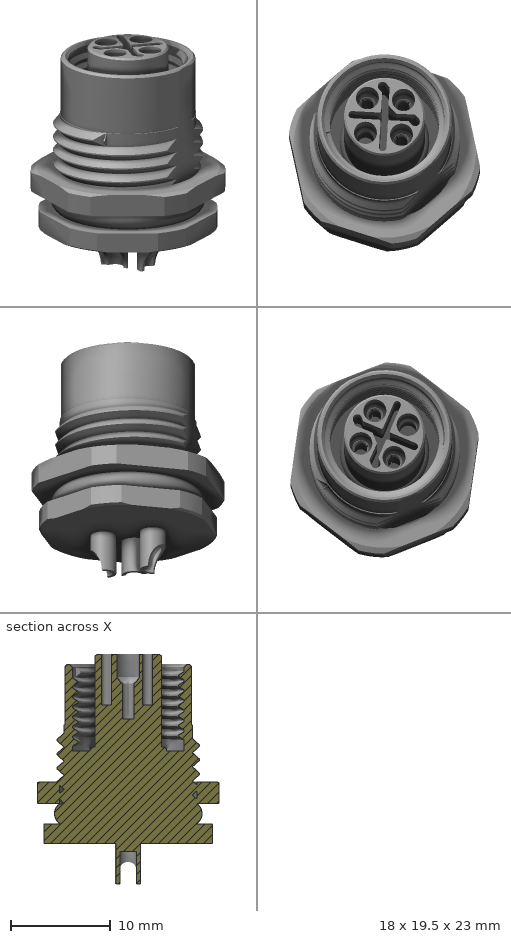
import cadquery as cq
import math

CUP_STEP = 0.48
FLANGE_BOTTOM = 4.02
FLANGE_TOP = 6.05
NUT_BOTTOM = 8.07
NUT_TOP = 10.25
THREAD_TOP = 15.96
SHELL_TOP = 22.0
INSERT_TOP = 23.0
CAVITY_FLOOR = 13.35

NUT_FLATS = 18.0
NUT_CORNERS = 19.48
NUT_BORE_RADIUS = 7.2
NUT_CHAMFER_RADIAL = 0.58
NUT_CHAMFER_HEIGHT = 0.2
FLANGE_FLATS = 16.88
FLANGE_CORNERS = 17.95
FLANGE_CHAMFER_RADIAL = 0.3
FLANGE_CHAMFER_HEIGHT = 0.18

RING_OUTER_RADIUS = 7.75
RING_SECTION_RADIUS = 1.22

SHELL_RADIUS = 6.75
SHELL_FLAT = 6.62
SHELL_EDGE_CHAMFER = 0.2
LEAD_IN_RADIUS = 6.3
LEAD_IN_DEPTH = 0.32

ROOT_RADIUS = 6.83
CREST_RADIUS = 7.5
PITCH = 1.41
CREST_WIDTH = 0.14
ROOT_GAP = 0.02
THREAD_TURNS = 5
THREAD_END_X = 1.45
THREAD_END_CREST_X = 0.32
THREAD_END_FOOT_X = 1.25
THREAD_END_LEDGE = 0.05
THREAD_END_ANGLE = math.degrees(math.asin(THREAD_END_X / ROOT_RADIUS)) - 90
CREST_END_Z = 15.25

INNER_MAJOR_RADIUS = 6.0
INNER_MINOR_RADIUS = 5.5
INNER_PITCH = 1.0
INNER_ROOT_WIDTH = 0.14
INNER_CREST_WIDTH = 0.15
INNER_TURNS = 7
INNER_END_ANGLE = 60
INNER_END_Z = 21.2

INSERT_RADIUS = 4.05
INSERT_FOOT_ROUND = 0.44
INSERT_EDGE_CHAMFER = 0.18
CONTACT_CIRCLE_RADIUS = 2.55
SOCKET_RADIUS = 1.15
SOCKET_DEPTH = 2.3
FUNNEL_RADIUS = 0.85
FUNNEL_DEPTH = 0.45
SPARE_HOLE_DEPTH = 2.3
CONTACT_POSITIONS = (
    (-CONTACT_CIRCLE_RADIUS, 0),
    (CONTACT_CIRCLE_RADIUS, 0),
    (0, -CONTACT_CIRCLE_RADIUS),
)
CONTACT_RADIUS = 0.8
CONTACT_BORE_RADIUS = 0.62
CONTACT_BORE_DEPTH = 3.68
CONTACT_SLIT_WIDTH = 0.14

KEYWAY_DEPTH = 5.05
KEYWAY_WIDTH = 0.74
KEYWAY_INNER_FILLET = 0.18
KEYWAY_REACH = 3.6
KEYWAY_BEND_X = 1.89
KEYWAY_BEND_END_X = 2.92
KEYWAY_BEND_Y = -1.93
KEYWAY_BEND_WIDTH = 0.92
KEYWAY_CENTRE_X = 0.6
KEYWAY_CENTRE_Y = -1.05

CUP_RADIUS = 2.6 / 2
CUP_BORE_RADIUS = 1.75 / 2
CUP_BORE_DEPTH = 3.22
SCOOP_RADIUS = 2.83
SCOOP_CENTRE = 5.22

OVERLAP = 0.12


def cylinder(radius, bottom, top, x=0, y=0):
    return cq.Workplane("XY", origin=(x, y, bottom)).circle(radius).extrude(top - bottom)


def cone(bottom_radius, top_radius, bottom, top, x=0, y=0):
    solid = cq.Solid.makeCone(bottom_radius, top_radius, top - bottom, pnt=cq.Vector(x, y, bottom))
    return cq.Workplane(obj=solid)


def hexagon(flats, corners, bottom, top):
    """Hexagonal plate with flats facing +X and -X and cylindrically trimmed corners."""
    corner_distance = flats / math.cos(math.radians(30))
    plate = cq.Workplane("XY", origin=(0, 0, bottom)).polygon(6, corner_distance).extrude(top - bottom)
    plate = plate.rotate((0, 0, 0), (0, 0, 1), 30)
    return plate.intersect(cylinder(corners / 2, bottom, top))


def helical_solid(profile, turns, pitch, start_z, start_angle):
    """Solid traced by a closed (radius, height) profile moving along a right-hand helix."""
    edges = [
        cq.Wire.makeHelix(pitch, pitch, radius, center=cq.Vector(0, 0, height)) for radius, height in profile
    ]
    following = edges[1:] + edges[:1]
    one_turn = [cq.Face.makeRuledSurface(first, second) for first, second in zip(edges, following)]
    faces = [face.translate(cq.Vector(0, 0, turn * pitch)) for turn in range(turns) for face in one_turn]
    for end_height in (0, turns * pitch):
        corners = [cq.Vector(radius, 0, height + end_height) for radius, height in profile]
        faces.append(cq.Face.makeFromWires(cq.Wire.makePolygon(corners, close=True)))
    solid = cq.Solid.makeSolid(cq.Shell.makeShell(faces))
    solid = solid.rotate(cq.Vector(0, 0, 0), cq.Vector(0, 0, 1), start_angle)
    return cq.Workplane(obj=solid.translate(cq.Vector(0, 0, start_z)))


def flange():
    plate = hexagon(FLANGE_FLATS, FLANGE_CORNERS, FLANGE_BOTTOM, FLANGE_TOP)
    bevel_top = FLANGE_BOTTOM + FLANGE_CHAMFER_HEIGHT
    corner_radius = FLANGE_CORNERS / 2
    envelope = cone(corner_radius - FLANGE_CHAMFER_RADIAL, corner_radius, FLANGE_BOTTOM, bevel_top)
    return plate.intersect(envelope.union(cylinder(corner_radius, bevel_top, FLANGE_TOP)))


def nut():
    plate = hexagon(NUT_FLATS, NUT_CORNERS, NUT_BOTTOM, NUT_TOP)
    bevel_bottom = NUT_TOP - NUT_CHAMFER_HEIGHT
    corner_radius = NUT_CORNERS / 2
    envelope = cone(corner_radius, corner_radius - NUT_CHAMFER_RADIAL, bevel_bottom, NUT_TOP)
    plate = plate.intersect(envelope.union(cylinder(corner_radius, NUT_BOTTOM, bevel_bottom)))
    return plate.cut(cylinder(NUT_BORE_RADIUS, NUT_BOTTOM, NUT_TOP))


def sealing_ring():
    """Solid disc whose rim is the bulging outside of the ring."""
    half_height = (NUT_BOTTOM - FLANGE_TOP) / 2
    section_centre = RING_OUTER_RADIUS - RING_SECTION_RADIUS
    face_radius = section_centre + math.sqrt(RING_SECTION_RADIUS**2 - half_height**2)
    return (
        cq.Workplane("XZ")
        .moveTo(0, FLANGE_TOP)
        .lineTo(face_radius, FLANGE_TOP)
        .threePointArc((RING_OUTER_RADIUS, FLANGE_TOP + half_height), (face_radius, NUT_BOTTOM))
        .lineTo(0, NUT_BOTTOM)
        .close()
        .revolve(360, (0, 0, 0), (0, 1, 0))
    )


def outside_thread():
    half_root = (PITCH - ROOT_GAP) / 2
    half_crest = CREST_WIDTH / 2
    profile = [
        (ROOT_RADIUS - OVERLAP, -half_root),
        (ROOT_RADIUS, -half_root),
        (CREST_RADIUS, -half_crest),
        (CREST_RADIUS, half_crest),
        (ROOT_RADIUS, half_root),
        (ROOT_RADIUS - OVERLAP, half_root),
    ]
    start_z = CREST_END_Z - THREAD_TURNS * PITCH
    thread = helical_solid(profile, THREAD_TURNS, PITCH, start_z, THREAD_END_ANGLE)
    ledge_radius = ROOT_RADIUS + THREAD_END_LEDGE
    slope = (
        cq.Workplane("XY", origin=(0, 0, CREST_END_Z - PITCH / 2))
        .polyline([
            (THREAD_END_CREST_X, -CREST_RADIUS),
            (THREAD_END_FOOT_X, -math.sqrt(ledge_radius**2 - THREAD_END_FOOT_X**2)),
            (THREAD_END_X, -math.sqrt(ledge_radius**2 - THREAD_END_X**2)),
            (THREAD_END_X, -CREST_RADIUS - 0.23),
            (THREAD_END_CREST_X, -CREST_RADIUS - 0.23),
        ])
        .close()
        .extrude(PITCH)
    )
    below_top = cylinder(CREST_RADIUS + 0.23, NUT_BOTTOM, THREAD_TOP)
    return thread.cut(slope).intersect(below_top)


def inside_thread():
    half_base = (INNER_PITCH - INNER_ROOT_WIDTH) / 2
    half_crest = INNER_CREST_WIDTH / 2
    profile = [
        (INNER_MAJOR_RADIUS + OVERLAP, -half_base),
        (INNER_MAJOR_RADIUS, -half_base),
        (INNER_MINOR_RADIUS, -half_crest),
        (INNER_MINOR_RADIUS, half_crest),
        (INNER_MAJOR_RADIUS, half_base),
        (INNER_MAJOR_RADIUS + OVERLAP, half_base),
    ]
    start_z = INNER_END_Z - INNER_TURNS * INNER_PITCH
    return helical_solid(profile, INNER_TURNS, INNER_PITCH, start_z, INNER_END_ANGLE)


def shell():
    body = cylinder(SHELL_RADIUS, NUT_BOTTOM, SHELL_TOP).faces(">Z").edges().chamfer(SHELL_EDGE_CHAMFER)
    body = body.union(cylinder(ROOT_RADIUS, NUT_BOTTOM, THREAD_TOP)).union(outside_thread())
    slab = cq.Workplane("XY").box(2 * SHELL_FLAT, 4 * CREST_RADIUS, 2 * INSERT_TOP)
    body = body.intersect(slab)
    body = body.cut(cylinder(INNER_MAJOR_RADIUS, CAVITY_FLOOR, SHELL_TOP))
    body = body.cut(cone(INNER_MAJOR_RADIUS, LEAD_IN_RADIUS, SHELL_TOP - LEAD_IN_DEPTH, SHELL_TOP))
    return body.union(inside_thread(), clean=False)


def keyway():
    """Solid of the cross: two rounded +Y arms, and two -Y arms that turn sideways."""
    plane = cq.Workplane("XY", origin=(0, 0, INSERT_TOP - KEYWAY_DEPTH))
    inner_corner = KEYWAY_WIDTH / 2 * math.sqrt(2)
    bend_top = KEYWAY_BEND_Y + KEYWAY_BEND_WIDTH / 2
    bend_bottom = KEYWAY_BEND_Y - KEYWAY_BEND_WIDTH / 2
    bend_end_x = KEYWAY_BEND_END_X - KEYWAY_BEND_WIDTH / 2
    right_side = [
        (inner_corner, 0),
        (inner_corner - bend_top, bend_top),
        (bend_end_x, bend_top),
        (bend_end_x, bend_bottom),
        (KEYWAY_BEND_X, bend_bottom),
        (KEYWAY_CENTRE_X, KEYWAY_CENTRE_Y),
    ]
    left_side = [(-x, y) for x, y in reversed(right_side)]
    cross = plane.polyline(right_side + left_side).close().extrude(KEYWAY_DEPTH)
    arm_length = KEYWAY_REACH + KEYWAY_WIDTH
    arm_middle = KEYWAY_REACH - arm_length / 2
    for side, angle in ((1, 45), (-1, 135)):
        arm = plane.center(arm_middle, 0).slot2D(arm_length, KEYWAY_WIDTH).extrude(KEYWAY_DEPTH)
        tip = plane.center(side * bend_end_x, KEYWAY_BEND_Y).circle(KEYWAY_BEND_WIDTH / 2)
        cross = cross.union(arm.rotate((0, 0, 0), (0, 0, 1), angle)).union(tip.extrude(KEYWAY_DEPTH))
    mid_z = INSERT_TOP - KEYWAY_DEPTH / 2
    for x, y in ((inner_corner, 0), (-inner_corner, 0), (0, inner_corner)):
        corner = cq.NearestToPointSelector((x, y, mid_z))
        cross = cross.edges("|Z").edges(corner).fillet(KEYWAY_INNER_FILLET)
    return cross


def socket(x, y):
    """Funnel-shaped mouth of one contact position."""
    funnel_top = INSERT_TOP - SOCKET_DEPTH
    mouth = cylinder(SOCKET_RADIUS, funnel_top, INSERT_TOP, x, y)
    return mouth.union(cone(FUNNEL_RADIUS, SOCKET_RADIUS, funnel_top - FUNNEL_DEPTH, funnel_top, x, y))


def contact_bore(x, y):
    """Bevelled bore of a contact tube, slit across in the radial direction."""
    top = INSERT_TOP - SOCKET_DEPTH - FUNNEL_DEPTH
    bevel = CONTACT_RADIUS - CONTACT_BORE_RADIUS
    bore = cylinder(CONTACT_BORE_RADIUS, top - CONTACT_BORE_DEPTH, top, x, y)
    bore = bore.union(cone(CONTACT_BORE_RADIUS, CONTACT_RADIUS, top - bevel, top, x, y))
    slit = (
        cq.Workplane("XY", origin=(0, 0, top - CONTACT_BORE_DEPTH))
        .rect(2 * CONTACT_RADIUS, CONTACT_SLIT_WIDTH)
        .extrude(CONTACT_BORE_DEPTH)
        .rotate((0, 0, 0), (0, 0, 1), math.degrees(math.atan2(y, x)))
        .translate((x, y, 0))
    )
    return bore.union(slit)


def insert():
    foot_radius = INSERT_RADIUS + INSERT_FOOT_ROUND
    foot_mid = INSERT_FOOT_ROUND * math.sqrt(0.5)
    body = (
        cq.Workplane("XZ")
        .moveTo(0, CAVITY_FLOOR - OVERLAP)
        .lineTo(foot_radius, CAVITY_FLOOR - OVERLAP)
        .lineTo(foot_radius, CAVITY_FLOOR)
        .threePointArc(
            (INSERT_RADIUS + foot_mid, CAVITY_FLOOR + foot_mid),
            (INSERT_RADIUS, CAVITY_FLOOR + INSERT_FOOT_ROUND),
        )
        .lineTo(INSERT_RADIUS, INSERT_TOP - INSERT_EDGE_CHAMFER)
        .lineTo(INSERT_RADIUS - INSERT_EDGE_CHAMFER, INSERT_TOP)
        .lineTo(0, INSERT_TOP)
        .close()
        .revolve(360, (0, 0, 0), (0, 1, 0))
    )
    body = body.cut(keyway())
    spare_x, spare_y = 0, CONTACT_CIRCLE_RADIUS
    body = body.cut(socket(spare_x, spare_y))
    spare_top = INSERT_TOP - SOCKET_DEPTH - FUNNEL_DEPTH
    body = body.cut(cylinder(FUNNEL_RADIUS, spare_top - SPARE_HOLE_DEPTH, spare_top, spare_x, spare_y))
    for x, y in CONTACT_POSITIONS:
        body = body.cut(socket(x, y)).cut(contact_bore(x, y))
    return body


def solder_cup(angle, bottom):
    """Pin on the contact circle with a blind bore and a round scoop on its outer side."""
    pin = cylinder(CUP_RADIUS, bottom, FLANGE_BOTTOM + OVERLAP, CONTACT_CIRCLE_RADIUS)
    bore = cylinder(CUP_BORE_RADIUS, bottom, bottom + CUP_BORE_DEPTH, CONTACT_CIRCLE_RADIUS)
    scoop = (
        cq.Workplane("XZ", origin=(0, CUP_RADIUS, 0))
        .center(SCOOP_CENTRE, bottom)
        .circle(SCOOP_RADIUS)
        .extrude(2 * CUP_RADIUS)
    )
    return pin.cut(bore).cut(scoop).rotate((0, 0, 0), (0, 0, 1), angle)


result = flange().union(sealing_ring()).union(nut()).union(shell(), clean=False).union(insert(), clean=False)
for cup_angle, cup_bottom in ((0, 0), (180, 0), (270, CUP_STEP)):
    result = result.union(solder_cup(cup_angle, cup_bottom), clean=False)